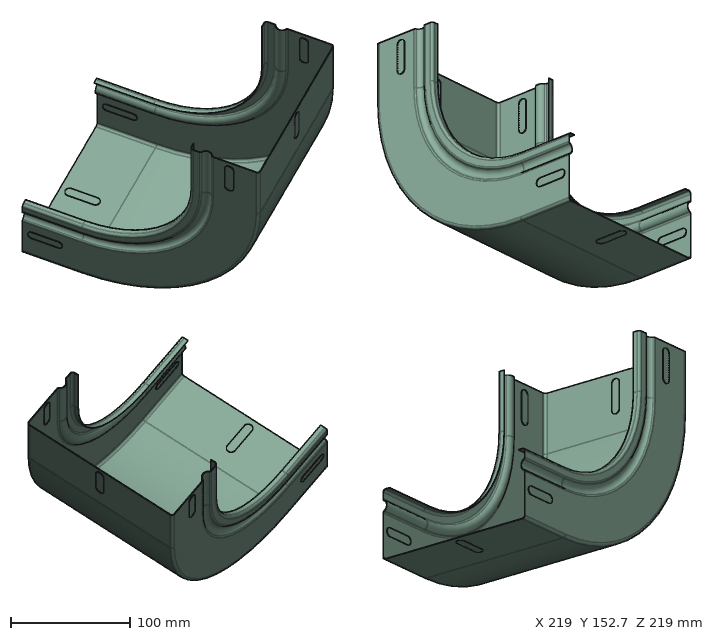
import cadquery as cq
import math

overall = 219.0
overall_width = 152.7
pad_rise = 0.1
sheet = 0.77

leg_length = 55.0
inner_bend_radius = 100.0
bend_center = overall - leg_length
wall_top = bend_center - inner_bend_radius

half_width = overall_width / 2 - pad_rise
floor_bottom = pad_rise
corner_radius = 2.8
lip_width = 7.0
groove_radius = 5.0
groove_edge_radius = 2.2
groove_half_height = 6.4
groove_below_top = 15.1
groove_angle = math.degrees(math.asin(groove_half_height / (groove_radius + groove_edge_radius)))

pad_length = 32.0
pad_width = 8.0
pad_end_gap = 5.0
pad_height = 28.0


def section_steps():
    """Folds of the outer surface from one lip edge to the other.

    A step is (length, 0) for a straight run or (radius, turn) for an arc; left turns are positive.
    """
    above_groove = groove_below_top - groove_half_height - corner_radius
    below_groove = wall_top - floor_bottom - groove_below_top - groove_half_height - corner_radius
    side = [
        (lip_width - corner_radius, 0),
        (corner_radius, 90),
        (above_groove, 0),
        (groove_edge_radius, groove_angle),
        (groove_radius, -2 * groove_angle),
        (groove_edge_radius, groove_angle),
        (below_groove, 0),
        (corner_radius, 90),
    ]
    floor = [(2 * (half_width - corner_radius), 0)]
    return side + floor + side[::-1]


def polar(center, radius, degrees):
    """Point at a radius and direction from center."""
    angle = math.radians(degrees)
    return center[0] + radius * math.cos(angle), center[1] + radius * math.sin(angle)


def trace(inset):
    """Points along the section, moved inward by inset: [point, (middle or None), point, ...]."""
    point = (lip_width - half_width, wall_top - inset)
    heading = 180.0
    points = [point]
    for size, turn in section_steps():
        if turn == 0:
            middle = None
            point = polar(point, size, heading)
        else:
            left_or_right = math.copysign(1, turn)
            radius = size - left_or_right * inset
            start = heading - left_or_right * 90
            center = polar(point, -radius, start)
            middle = polar(center, radius, start + turn / 2)
            point = polar(center, radius, start + turn)
            heading += turn
        points += [middle, point]
    return points


def follow(outline, points):
    """Draw the runs and arcs of a traced path, starting at its first point."""
    for middle, end in zip(points[1::2], points[2::2]):
        if middle is None:
            outline = outline.lineTo(*end)
        else:
            outline = outline.threePointArc(middle, end)
    return outline


def section(x):
    """Closed channel section in the YZ plane at x."""
    outer = trace(0)
    inner = trace(sheet)[::-1]
    outline = cq.Workplane("YZ", origin=(x, 0, 0)).moveTo(*outer[0])
    outline = follow(outline, outer).lineTo(*inner[0])
    return follow(outline, inner).close()


def pad(plane, center):
    """Slot-shaped pad along X, standing proud of both faces of the sheet around center."""
    thickness = sheet + 2 * pad_rise
    return cq.Workplane(plane, origin=center).slot2D(pad_length, pad_width).extrude(thickness / 2, both=True)


def end_leg():
    """Horizontal leg with one pad on the floor and one on each side wall."""
    leg = section(0).extrude(leg_length)
    pad_x = pad_end_gap + pad_length / 2
    leg = leg.union(pad("XY", (pad_x, 0, floor_bottom + sheet / 2)))
    for side in (-1, 1):
        wall_y = side * (half_width - sheet / 2)
        leg = leg.union(pad("XZ", (pad_x, wall_y, pad_height)))
    return leg


def bend():
    """Quarter turn about the Y-parallel axis through the bend centre."""
    return section(leg_length).revolve(90, (0, bend_center), (-1, bend_center))


lower_leg = end_leg()
upper_leg = lower_leg.mirror((1, 0, 1), (0, 0, overall))
result = bend().union(lower_leg).union(upper_leg)